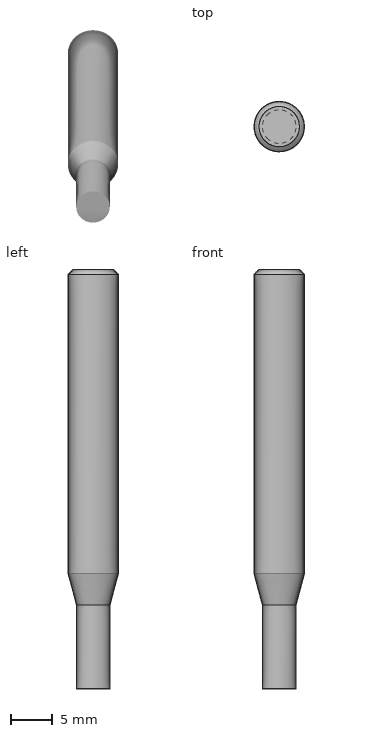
import cadquery as cq
import math

overall_length = 50.0
shank_diameter = 6.0
shank_chamfer = 0.6
cutter_diameter = 4.0
cutter_length = 10.0
taper_half_angle = 15.0

shank_radius = shank_diameter / 2
cutter_radius = cutter_diameter / 2
taper_height = (shank_radius - cutter_radius) / math.tan(math.radians(taper_half_angle))
taper_top = cutter_length + taper_height


def make_cutter():
    """Plain cylindrical cutting section at the lower end."""
    return cq.Workplane("XY").circle(cutter_radius).extrude(cutter_length)


def make_shank():
    """Shank that tapers down to the cutter and has a chamfered upper end."""
    profile = (
        cq.Workplane("XZ")
        .moveTo(0, cutter_length)
        .lineTo(cutter_radius, cutter_length)
        .lineTo(shank_radius, taper_top)
        .lineTo(shank_radius, overall_length)
        .lineTo(0, overall_length)
        .close()
    )
    body = profile.revolve(360, (0, 0, 0), (0, 1, 0))
    return body.faces(">Z").edges().chamfer(shank_chamfer)


cutter = make_cutter()
shank = make_shank()

result = cq.Compound.makeCompound([cutter.val(), shank.val()])